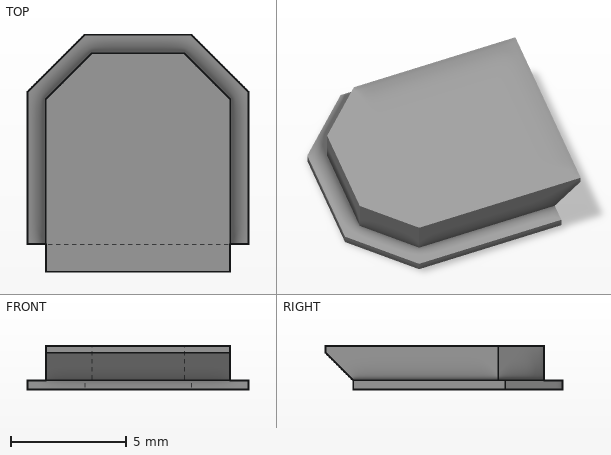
import cadquery as cq

width = 9.6
length = 10.3
height = 1.9

plate_thickness = 0.4
plate_corner = 2.49

border = 0.8
body_corner = 2.0
overhang = 1.2

plate_length = length - overhang
body_width = width - 2 * border
body_length = length - border
body_height = height - plate_thickness


def clipped_slab(slab_width, front_y, slab_length, bottom_z, thickness, corner):
    """Rectangular slab with its two back corners cut at 45 degrees."""
    slab = cq.Workplane("XY").box(slab_width, slab_length, thickness, centered=(True, False, False))
    slab = slab.faces(">Y").edges("|Z").chamfer(corner)
    return slab.translate((0, front_y, bottom_z))


def front_undercut():
    """45-degree wedge below the overhanging front lip of the body."""
    return (
        cq.Workplane("YZ")
        .moveTo(0, plate_thickness)
        .lineTo(overhang, plate_thickness)
        .lineTo(0, plate_thickness + overhang)
        .close()
        .extrude(body_width / 2, both=True)
    )


plate = clipped_slab(width, overhang, plate_length, 0, plate_thickness, plate_corner)
body = clipped_slab(body_width, 0, body_length, plate_thickness, body_height, body_corner)

result = plate.union(body.cut(front_undercut()))